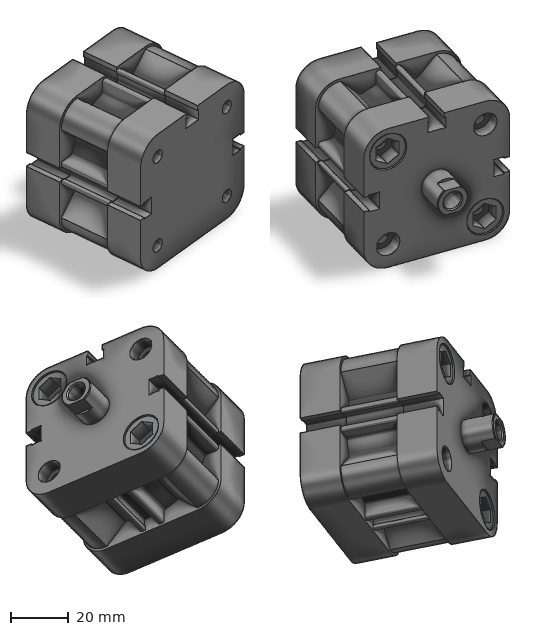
import cadquery as cq
import math


overall_length = 63

block_width = 57.0
block_length = 14.8
barrel_length = 21.35
housing_length = 2 * block_length + barrel_length
half_width = block_width / 2
corner_radius = 9.5

hole_offset = half_width - corner_radius
through_diameter = 5.05
counterbore_diameter = 9.0
counterbore_depth = 5.0

slot_opening = 5.9
slot_width = 7.0
slot_lip_height = 2.15
slot_depth = 6.2
slot_inset = 0.25
slot_floor_fillet = 0.5

core_radius = 22.4
barrel_setback = 1.0
lobe_radius = corner_radius - barrel_setback
lobe_width = 12.35
rail_half_width = 5.0
rail_top = half_width - barrel_setback
slot_mouth_fillet = 0.5
barrel_fillet = 1.0

rod_diameter = 12.0
rod_projection = overall_length - housing_length
rod_insertion = block_length
rod_chamfer = 0.3
flat_length = 5.4
flat_spacing = 10.0
thread_diameter = 6.8
thread_depth = 12.0
thread_mouth_diameter = 7.75
drill_tip_angle = 118

screw_diameter = 14.0
screw_length = 7.55
screw_sink = 0.5
screw_clearance = 0.25
screw_recess_diameter = screw_diameter + 2 * screw_clearance
screw_recess_depth = screw_sink + screw_length
hex_across_flats = 9.0
hex_depth = 5.7

tolerance = 0.005

plain_hole_places = [(-hole_offset, hole_offset), (hole_offset, -hole_offset)]
screw_places = [(hole_offset, hole_offset), (-hole_offset, -hole_offset)]


def plane_at(x):
    """Sketch plane across the rod axis: local x is Y, local y is Z, and it extrudes along +X."""
    return cq.Workplane("YZ", origin=(x, 0, 0))


def turned(shape, angle):
    """The shape turned about the rod axis."""
    return shape.rotate((0, 0, 0), (1, 0, 0), angle)


def edge_radius(edge):
    """Distance of an edge that runs along X from the rod axis."""
    centre = edge.Center()
    return math.hypot(centre.y, centre.z)


def t_slot(x, length, inset=0, floor_fillet=0):
    """Cutter for a T-slot in the top side, with its walls and floor moved into the slot by the inset."""
    opening = slot_opening - 2 * inset
    width = slot_width - 2 * inset
    floor = half_width - slot_depth + inset
    lip_bottom = half_width - slot_lip_height - inset
    neck = plane_at(x).center(0, (floor + half_width) / 2).rect(opening, half_width - floor).extrude(length)
    channel = plane_at(x).center(0, (floor + lip_bottom) / 2).rect(width, lip_bottom - floor).extrude(length)
    if floor_fillet:
        channel = channel.edges("|X and <Z").fillet(floor_fillet)
    return neck.union(channel)


def end_block(x):
    """Square block with rounded corners and slots in the top, left and right sides."""
    block = plane_at(x).rect(block_width, block_width).extrude(block_length)
    block = block.edges("|X").fillet(corner_radius)
    for angle in (-90, 0, 90):
        block = block.cut(turned(t_slot(x, block_length), angle))
    return block


def corner_lobe():
    """Straight-sided arm toward a corner, ending in an arc around the hole there; drawn pointing up."""
    centre = hole_offset * math.sqrt(2)
    side = lobe_width / 2
    shoulder = centre + math.sqrt(lobe_radius**2 - side**2)
    return (
        plane_at(block_length)
        .moveTo(-side, 0)
        .lineTo(-side, shoulder)
        .threePointArc((0, centre + lobe_radius), (side, shoulder))
        .lineTo(side, 0)
        .close()
        .extrude(barrel_length)
    )


def slot_rail():
    """Rail with rounded top edges that carries a sensor slot; drawn pointing up."""
    middle = plane_at(block_length).center(0, rail_top / 2)
    rail = middle.rect(2 * rail_half_width, rail_top).extrude(barrel_length)
    return rail.edges("|X and >Z").fillet(barrel_fillet)


def barrel():
    """Round core with four corner lobes and four slotted rails."""
    body = plane_at(block_length).circle(core_radius).extrude(barrel_length)
    for quarter in range(4):
        body = body.union(turned(corner_lobe(), 45 + 90 * quarter))
        body = body.union(turned(slot_rail(), 90 * quarter))

    inner_corners = body.edges("|X").filter(lambda edge: edge_radius(edge) < core_radius + tolerance)
    body = inner_corners.fillet(barrel_fillet)

    slot = t_slot(block_length, barrel_length, slot_inset, slot_floor_fillet)
    for quarter in range(4):
        body = body.cut(turned(slot, 90 * quarter))

    mouth_radius = math.hypot(slot_opening / 2 - slot_inset, rail_top)
    mouth_edges = body.edges("|X").filter(lambda edge: abs(edge_radius(edge) - mouth_radius) < tolerance)
    return mouth_edges.fillet(slot_mouth_fillet)


def holes(places, diameter, depth):
    """Cutter for round holes from the front face."""
    return plane_at(0).pushPoints(places).circle(diameter / 2).extrude(depth)


def make_housing():
    """Barrel and end blocks as one solid, with the holes and the seats for rod and screws."""
    body = end_block(0).union(barrel()).union(end_block(block_length + barrel_length))
    body = body.cut(holes(plain_hole_places + screw_places, through_diameter, housing_length))
    body = body.cut(holes(plain_hole_places, counterbore_diameter, counterbore_depth))
    body = body.cut(holes(screw_places, screw_recess_diameter, screw_recess_depth))
    return body.cut(holes([(0, 0)], rod_diameter, rod_insertion))


def make_rod():
    """Piston rod with two wrench flats and a drilled, countersunk thread hole in its free end."""
    tip = -rod_projection
    body = plane_at(tip).circle(rod_diameter / 2).extrude(rod_projection + rod_insertion)
    body = body.faces("<X").chamfer(rod_chamfer)

    for side in (-1, 1):
        flat = plane_at(tip).center(0, side * (flat_spacing + rod_diameter) / 2)
        body = body.cut(flat.rect(rod_diameter, rod_diameter).extrude(flat_length))

    thread_radius = thread_diameter / 2
    mouth_radius = thread_mouth_diameter / 2
    mouth_depth = mouth_radius - thread_radius
    cone_depth = thread_radius / math.tan(math.radians(drill_tip_angle / 2))
    hole = (
        cq.Workplane("XY")
        .polyline([
            (tip, 0),
            (tip, mouth_radius),
            (tip + mouth_depth, thread_radius),
            (tip + thread_depth, thread_radius),
            (tip + thread_depth + cone_depth, 0),
        ])
        .close()
        .revolve(360, (0, 0, 0), (1, 0, 0))
    )
    return body.cut(hole)


def make_screw(place):
    """Collar screw, sunk just below the front face, with a hexagon socket and a through hole."""
    hex_across_corners = hex_across_flats / math.cos(math.radians(30))
    body = plane_at(screw_sink).circle(screw_diameter / 2).circle(through_diameter / 2).extrude(screw_length)
    socket = plane_at(screw_sink).polygon(6, hex_across_corners).extrude(hex_depth)
    body = body.cut(turned(socket, 90))
    return body.translate((0, place[0], place[1]))


housing = make_housing()
rod = make_rod()
screws = [make_screw(place) for place in screw_places]

result = cq.Compound.makeCompound([housing.val(), rod.val(), *[screw.val() for screw in screws]])